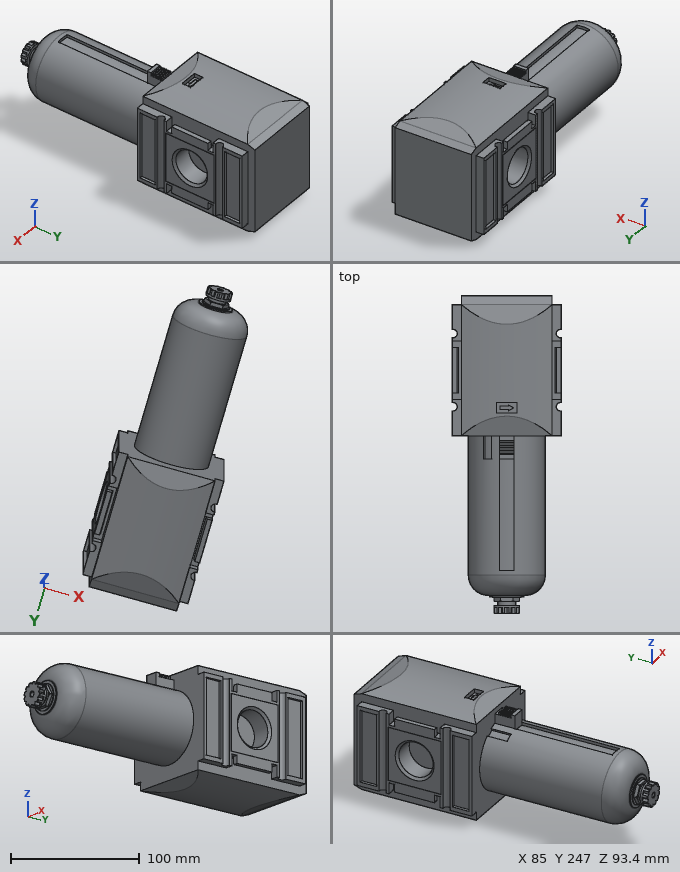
import cadquery as cq


TOTAL_LENGTH = 247.0

FLANGE_WIDTH = 85.0
HOUSING_HEIGHT = 93.4
BLOCK_DEPTH = 102.0
HOUSING_DEPTH = 109.0
CORE_HALF_WIDTH = 35.3
FLANGE_HALF_HEIGHT = 35.3
EDGE_HALF_HEIGHT = 42.5
CAP_HALF_HEIGHT = 40.0
BEVEL_LENGTH = 15.3
HALF_WIDTH = FLANGE_WIDTH / 2
HALF_HEIGHT = HOUSING_HEIGHT / 2

PORT_Y = BLOCK_DEPTH / 2
PORT_DIAMETER = 30.5
PORT_MOUTH_DIAMETER = 34.5
PORT_CHAMFER = (PORT_MOUTH_DIAMETER - PORT_DIAMETER) / 2
PORT_DEPTH = 18.5
PORT_SEAT_SIDE = 47.0
PORT_SEAT_DEPTH = 0.2

NOTCH_LENGTH = 45.5
NOTCH_FLOOR = 25.7
LIP_LENGTH = 35.3
LIP_TOP_THICKNESS = 4.0
LIP_ROOT_THICKNESS = 5.0
LIP_HALF_HEIGHT = 32.4

GROOVE_OFFSET = 28.5
GROOVE_WIDTH = 6.5
GROOVE_DEPTH = 4.0
PANEL_OFFSET = 41.0
PANEL_WIDTH = 14.5
PANEL_HEIGHT = 63.5
PANEL_DEPTH = 2.5

WINDOW_Y = 21.7
WINDOW_WIDTH = 15.8
WINDOW_LENGTH = 8.2
WINDOW_FLOOR = 43.0
ARROW_LENGTH = 10.4
ARROW_HEAD_LENGTH = 4.0
ARROW_HEAD_WIDTH = 4.7
ARROW_SHAFT_WIDTH = 2.7
ARROW_HEIGHT = 0.7

BOWL_RADIUS = 60.0 / 2
BOWL_LENGTH = 124.0
BOWL_END_RADIUS = 15.8
SLOT_DEPTH = 2.5
SIGHT_SLOT_END = 104.5
SIDE_SLOT_WIDTH = 7.2
SIDE_SLOT_ANGLE = 30.0

LATCH_WIDTH = 11.5
LATCH_LENGTH = 17.8
LATCH_TOP = 40.8
LATCH_LEDGE = 37.8
LATCH_STOP_LENGTH = 3.5
TOOTH_COUNT = 5
TOOTH_TOP = 40.0
TOOTH_LENGTH = 1.2
TOOTH_PITCH = 2.2
FIRST_TOOTH = 3.5

COLLAR_DIAMETER = 27.0
COLLAR_END = 125.0
WASHER_DIAMETER = 22.0
WASHER_END = 125.7
NUT_CORNER_DIAMETER = 20.0
NUT_END = 128.7
NUT_CHAMFER = 0.7
NECK_DIAMETER = 14.0
RIM_START = 131.7
RIM_END = 133.5
KNOB_DIAMETER = 20.0
KNOB_END = TOTAL_LENGTH - HOUSING_DEPTH
KNURL_COUNT = 12
KNURL_WIDTH = 3.7
KNURL_DEPTH = 1.7
KNOB_CHAMFER = 0.5
DRAIN_HOLE_DIAMETER = 4.0
DRAIN_HOLE_DEPTH = 5.0
DRAIN_HOLE_CHAMFER = 0.5


def block(x_range, y_range, z_range):
    """Box between the given limits."""
    (x0, x1), (y0, y1), (z0, z1) = x_range, y_range, z_range
    return cq.Workplane("XY").box(x1 - x0, y1 - y0, z1 - z0, centered=False).translate((x0, y0, z0))


def y_workplane(y):
    """Workplane across the bowl axis whose normal points to -Y, with local axes X and Z."""
    return cq.Workplane("XZ", origin=(0, y, 0))


def make_core():
    """Crowned block with sloped crown ends and a tapered cap."""
    section = (
        y_workplane(HOUSING_DEPTH)
        .moveTo(-CORE_HALF_WIDTH, -EDGE_HALF_HEIGHT)
        .lineTo(-CORE_HALF_WIDTH, EDGE_HALF_HEIGHT)
        .threePointArc((0, HALF_HEIGHT), (CORE_HALF_WIDTH, EDGE_HALF_HEIGHT))
        .lineTo(CORE_HALF_WIDTH, -EDGE_HALF_HEIGHT)
        .threePointArc((0, -HALF_HEIGHT), (-CORE_HALF_WIDTH, -EDGE_HALF_HEIGHT))
        .close()
        .extrude(HOUSING_DEPTH)
    )
    upper_edge = [
        (0, EDGE_HALF_HEIGHT),
        (BEVEL_LENGTH, HALF_HEIGHT),
        (BLOCK_DEPTH - BEVEL_LENGTH, HALF_HEIGHT),
        (BLOCK_DEPTH, EDGE_HALF_HEIGHT),
        (HOUSING_DEPTH, CAP_HALF_HEIGHT),
    ]
    lower_edge = [(y, -z) for y, z in reversed(upper_edge)]
    side_outline = cq.Workplane("YZ").polyline(upper_edge + lower_edge).close()
    return section.intersect(side_outline.extrude(HALF_WIDTH, both=True))


def make_notch():
    """Cutter for one clamp notch, leaving a tapered lip at the port face (+X side, upper)."""
    half_length = NOTCH_LENGTH / 2
    notch = block(
        (CORE_HALF_WIDTH, HALF_WIDTH),
        (PORT_Y - half_length, PORT_Y + half_length),
        (NOTCH_FLOOR, FLANGE_HALF_HEIGHT),
    )
    lip_section = [
        (HALF_WIDTH, NOTCH_FLOOR),
        (HALF_WIDTH, LIP_HALF_HEIGHT),
        (HALF_WIDTH - LIP_TOP_THICKNESS, LIP_HALF_HEIGHT),
        (HALF_WIDTH - LIP_ROOT_THICKNESS, NOTCH_FLOOR),
    ]
    lip = y_workplane(PORT_Y + LIP_LENGTH / 2).polyline(lip_section).close().extrude(LIP_LENGTH)
    return notch.cut(lip)


def make_groove(y):
    """Cutter for one round-bottomed groove along Z in the +X port face."""
    radius = GROOVE_WIDTH / 2
    center_x = HALF_WIDTH - GROOVE_DEPTH + radius
    return (
        cq.Workplane("XY", origin=(0, y, -FLANGE_HALF_HEIGHT))
        .moveTo(HALF_WIDTH, -radius)
        .lineTo(center_x, -radius)
        .threePointArc((center_x - radius, 0), (center_x, radius))
        .lineTo(HALF_WIDTH, radius)
        .close()
        .extrude(2 * FLANGE_HALF_HEIGHT)
    )


def make_face_recess(y, width, height, depth):
    """Cutter for a rectangular recess in the +X port face."""
    return block(
        (HALF_WIDTH - depth, HALF_WIDTH),
        (y - width / 2, y + width / 2),
        (-height / 2, height / 2),
    )


def make_port():
    """Cutter for the chamfered blind port in the +X face."""
    seat_x = HALF_WIDTH - PORT_SEAT_DEPTH
    profile = [
        (seat_x - PORT_DEPTH, 0),
        (seat_x - PORT_DEPTH, PORT_DIAMETER / 2),
        (seat_x - PORT_CHAMFER, PORT_DIAMETER / 2),
        (seat_x, PORT_MOUTH_DIAMETER / 2),
        (seat_x, 0),
    ]
    port = cq.Workplane("XY").polyline(profile).close().revolve(360, (0, 0, 0), (1, 0, 0))
    return port.translate((0, PORT_Y, 0))


def make_port_face_cutters():
    """All cutters of the +X port face."""
    notch = make_notch()
    cutters = [
        notch,
        notch.mirror("XY"),
        make_face_recess(PORT_Y, PORT_SEAT_SIDE, PORT_SEAT_SIDE, PORT_SEAT_DEPTH),
        make_port(),
    ]
    for side in (-1, 1):
        cutters.append(make_groove(PORT_Y + side * GROOVE_OFFSET))
        panel_y = PORT_Y + side * PANEL_OFFSET
        cutters.append(make_face_recess(panel_y, PANEL_WIDTH, PANEL_HEIGHT, PANEL_DEPTH))
    return cutters


def make_arrow():
    """Raised arrow that points to +X on the window floor."""
    tip = ARROW_LENGTH / 2
    neck = tip - ARROW_HEAD_LENGTH
    half_head = ARROW_HEAD_WIDTH / 2
    half_shaft = ARROW_SHAFT_WIDTH / 2
    outline = [
        (-tip, -half_shaft),
        (neck, -half_shaft),
        (neck, -half_head),
        (tip, 0),
        (neck, half_head),
        (neck, half_shaft),
        (-tip, half_shaft),
    ]
    arrow_base = cq.Workplane("XY", origin=(0, WINDOW_Y, WINDOW_FLOOR))
    return arrow_base.polyline(outline).close().extrude(ARROW_HEIGHT)


def make_housing():
    """Housing block with a port on each side."""
    flanges = block(
        (-HALF_WIDTH, HALF_WIDTH),
        (0, BLOCK_DEPTH),
        (-FLANGE_HALF_HEIGHT, FLANGE_HALF_HEIGHT),
    )
    housing = make_core().union(flanges)
    for cutter in make_port_face_cutters():
        housing = housing.cut(cutter).cut(cutter.mirror("YZ"))
    window = block(
        (-WINDOW_WIDTH / 2, WINDOW_WIDTH / 2),
        (WINDOW_Y - WINDOW_LENGTH / 2, WINDOW_Y + WINDOW_LENGTH / 2),
        (WINDOW_FLOOR, HALF_HEIGHT),
    )
    return housing.cut(window).union(make_arrow())


def cylinder_section(diameter, start, end):
    """Round section of the bowl axis between two distances below the housing."""
    return y_workplane(-start).circle(diameter / 2).extrude(end - start)


def make_slot(width, start, end):
    """Cutter for a slot along the top of the bowl, with a floor concentric to the bowl."""
    strip = block((-width / 2, width / 2), (-end, -start), (0, BOWL_RADIUS))
    floor = cylinder_section(2 * (BOWL_RADIUS - SLOT_DEPTH), start, end)
    return strip.cut(floor)


def make_latch():
    """Toothed latch that stands on the bowl next to the housing."""
    x_range = (-LATCH_WIDTH / 2, LATCH_WIDTH / 2)
    seat = BOWL_RADIUS - SLOT_DEPTH
    latch = block(x_range, (-LATCH_LENGTH, 0), (seat, LATCH_LEDGE))
    stop = block(x_range, (-LATCH_LENGTH, LATCH_STOP_LENGTH - LATCH_LENGTH), (seat, LATCH_TOP))
    latch = latch.union(stop)
    for index in range(TOOTH_COUNT):
        start = FIRST_TOOTH + index * TOOTH_PITCH
        latch = latch.union(block(x_range, (-start - TOOTH_LENGTH, -start), (seat, TOOTH_TOP)))
    return latch


def make_nut():
    """Hexagon nut with rounded corners and two corners on the X axis."""
    length = NUT_END - WASHER_END
    hexagon = y_workplane(-WASHER_END).polygon(6, NUT_CORNER_DIAMETER).extrude(length)
    envelope = cylinder_section(NUT_CORNER_DIAMETER, WASHER_END, NUT_END).faces("<Y").chamfer(NUT_CHAMFER)
    return hexagon.intersect(envelope)


def make_knob():
    """Drain knob with V-shaped knurls below a plain rim."""
    knob = cylinder_section(KNOB_DIAMETER, RIM_START, KNOB_END)
    knob = knob.faces("<Y").chamfer(KNOB_CHAMFER)
    radius = KNOB_DIAMETER / 2
    knurl = (
        y_workplane(-RIM_END)
        .moveTo(radius - KNURL_DEPTH, 0)
        .lineTo(radius, -KNURL_WIDTH / 2)
        .lineTo(radius, KNURL_WIDTH / 2)
        .close()
        .extrude(KNOB_END - RIM_END)
    )
    for index in range(KNURL_COUNT):
        knob = knob.cut(knurl.rotate((0, 0, 0), (0, 1, 0), index * 360 / KNURL_COUNT))
    return knob


def make_drain_hole():
    """Cutter for the blind, chamfered hole in the end of the knob."""
    radius = DRAIN_HOLE_DIAMETER / 2
    mouth_radius = radius + DRAIN_HOLE_CHAMFER
    hole = cylinder_section(DRAIN_HOLE_DIAMETER, KNOB_END - DRAIN_HOLE_DEPTH, KNOB_END)
    countersink = cq.Solid.makeCone(
        mouth_radius, radius, DRAIN_HOLE_CHAMFER, cq.Vector(0, -KNOB_END, 0), cq.Vector(0, 1, 0)
    )
    return hole.union(cq.Workplane(countersink))


def make_bowl():
    """Bowl with its latch, slots and drain."""
    bowl = cylinder_section(2 * BOWL_RADIUS, 0, BOWL_LENGTH).faces("<Y").edges().fillet(BOWL_END_RADIUS)
    side_slot = make_slot(SIDE_SLOT_WIDTH, 0, LATCH_LENGTH)
    bowl = bowl.cut(side_slot.rotate((0, 0, 0), (0, 1, 0), -SIDE_SLOT_ANGLE))
    bowl = bowl.cut(make_slot(LATCH_WIDTH, LATCH_LENGTH, SIGHT_SLOT_END))
    bowl = (
        bowl.union(make_latch())
        .union(cylinder_section(COLLAR_DIAMETER, BOWL_LENGTH, COLLAR_END))
        .union(cylinder_section(WASHER_DIAMETER, COLLAR_END, WASHER_END))
        .union(make_nut())
        .union(cylinder_section(NECK_DIAMETER, NUT_END, RIM_START))
        .union(make_knob())
    )
    return bowl.cut(make_drain_hole())


housing = make_housing()
bowl = make_bowl()

result = cq.Compound.makeCompound([housing.val(), bowl.val()])